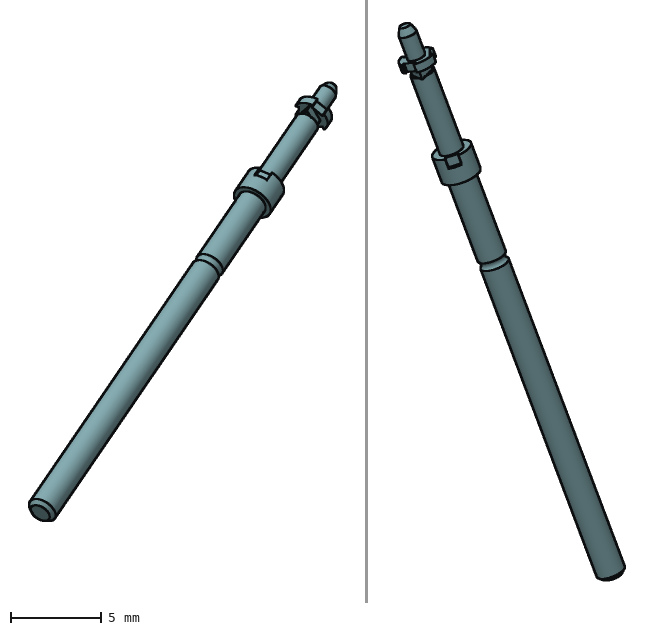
import cadquery as cq

length = 35.0
plain_end = -length / 2
tip_end = length / 2

barrel_radius = 0.85
barrel_chamfer = 0.25
groove_y = 2.6
groove_width = 0.5
groove_depth = 0.122

collar_radius = 1.15
collar_start = 7.98
collar_length = 1.6
collar_end = collar_start + collar_length
collar_slot_length = 0.6

stem_radius = 0.7
stem_end = 14.52

key_half_width = 0.6
key_end = 15.0

ring_radius = 1.05
ring_end = 15.55
ring_slot_count = 3

slot_width = 0.77
slot_depth = 0.28

pin_radius = 0.52
tip_flat_radius = 0.3
tip_shoulder_radius = 0.42
tip_shoulder_length = 0.2
tip_length = 0.5


def cylinder(radius, start, end):
    """Round bar along Y between two stations."""
    return cq.Workplane("XZ", origin=(0, start, 0)).circle(radius).extrude(start - end)


def rim_slot(rim_radius, start, end, angle):
    """Cutter for a slot along Y in a round rim; angle is measured from +X toward +Z."""
    floor = rim_radius - slot_depth
    outside = 2 * rim_radius
    cutter = cq.Workplane("XY").box(
        outside - floor, end - start, slot_width, centered=(False, False, True)
    )
    return cutter.translate((floor, start, 0)).rotate((0, 0, 0), (0, 1, 0), -angle)


def make_barrel():
    """Barrel with a chamfered plain end and a rolled groove of round section."""
    barrel = cylinder(barrel_radius, plain_end, collar_start)
    barrel = barrel.faces("<Y").chamfer(barrel_chamfer)
    half_width = groove_width / 2
    groove = (
        cq.Workplane("XY")
        .moveTo(barrel_radius, groove_y - half_width)
        .threePointArc((barrel_radius - groove_depth, groove_y), (barrel_radius, groove_y + half_width))
        .close()
        .revolve(360, (0, 0, 0), (0, 1, 0))
    )
    return barrel.cut(groove)


def make_collar():
    """Collar with a slot above and below, open only toward the tip."""
    collar = cylinder(collar_radius, collar_start, collar_end)
    for angle in (90, 270):
        collar = collar.cut(rim_slot(collar_radius, collar_end - collar_slot_length, collar_end, angle))
    return collar


def make_key():
    """Diamond section, tall in Z, reaching the ring rim at its two ridges."""
    corners = [(key_half_width, 0), (0, ring_radius), (-key_half_width, 0), (0, -ring_radius)]
    return cq.Workplane("XZ", origin=(0, stem_end, 0)).polyline(corners).close().extrude(stem_end - key_end)


def make_ring():
    """Ring with evenly spaced slots through its whole thickness, the first one at -X."""
    ring = cylinder(ring_radius, key_end, ring_end)
    for index in range(ring_slot_count):
        angle = 180 + index * 360 / ring_slot_count
        ring = ring.cut(rim_slot(ring_radius, key_end, ring_end, angle))
    return ring


def make_pin():
    """Contact pin with a domed tip that ends in a small flat."""
    return (
        cq.Workplane("XY")
        .moveTo(0, ring_end)
        .lineTo(pin_radius, ring_end)
        .lineTo(pin_radius, tip_end - tip_length)
        .threePointArc((tip_shoulder_radius, tip_end - tip_shoulder_length), (tip_flat_radius, tip_end))
        .lineTo(0, tip_end)
        .close()
        .revolve(360, (0, 0, 0), (0, 1, 0))
    )


stem = cylinder(stem_radius, collar_start, stem_end)

result = make_barrel()
for section in (make_collar(), stem, make_key(), make_ring(), make_pin()):
    result = result.union(section)